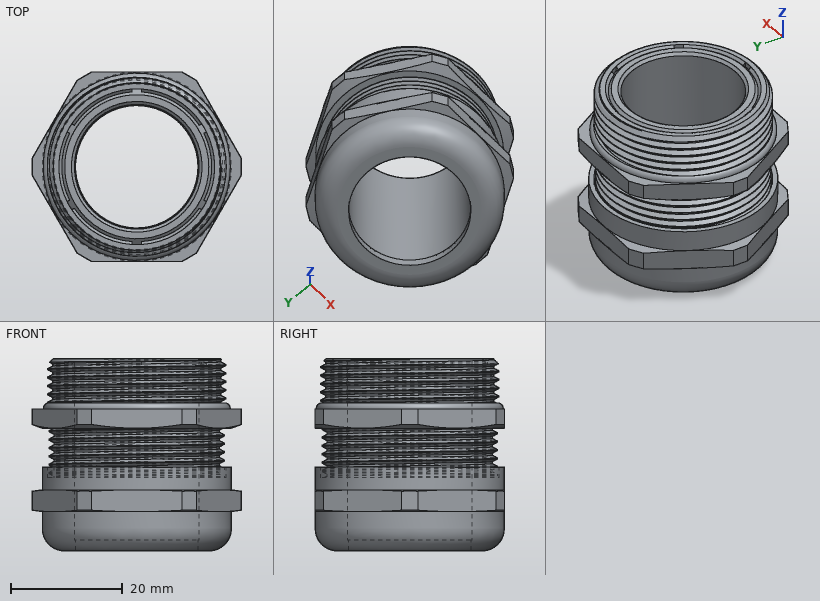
import cadquery as cq
import math

across_flats = 34.0
across_corners = 37.53
flat_radius = across_flats / 2
chamfer_cone_radius = 22.5

cap_hex_bottom = 7.05
cap_hex_top = 10.95
cap_top = 15.05
body_hex_bottom = 21.95
body_hex_top = 25.5
collar_top = 26.55
total_height = 34.5

cap_radius = 16.95
cap_round = 4.0
cap_recess_radius = 16.03
cap_recess_depth = 1.88
cap_hex_chamfer_angle = 8.0

body_chamfer_radius = 16.85
body_hex_chamfer_angle = 20.0
collar_radius = 16.78
collar_top_radius = 16.05

pitch = 1.5
ridge_base = 1.13
ridge_crest = 0.15
ridge_overlap = 0.15
upper_root, upper_crest = 15.1, 16.03
lower_root, lower_crest = 14.85, 15.75
upper_start = 25.82
lower_start = 11.7
upper_turns = 6
lower_turns = 8
thread_lead_radius = 14.97
thread_lead = 1.88

bore_radius = 11.2
bore_mouth_radius = 11.7
bore_chamfer = bore_mouth_radius - bore_radius
lip_radius = 10.95
lip_height = 2.0

groove_inner = 12.9
groove_outer = 13.95
groove_width = groove_outer - groove_inner
notch_width = 1.7
notch_count = 6
first_notch_angle = 30


def cylinder(radius, bottom, top):
    return cq.Workplane("XY").workplane(offset=bottom).circle(radius).extrude(top - bottom)


def turned(points):
    """Solid of revolution about Z from a closed outline of (radius, z) points."""
    return cq.Workplane("XZ").polyline(points).close().revolve(360, (0, 0), (0, 1))


def trimmed_hexagon(bottom, top):
    """Hexagonal prism with flats on +-Y and its six corners cut off square."""
    corner_ratio = 1 / math.cos(math.radians(30))
    height = top - bottom
    plane = cq.Workplane("XY").workplane(offset=bottom)
    hexagon = plane.polygon(6, across_flats * corner_ratio).extrude(height)
    trim = plane.transformed(rotate=(0, 0, 30)).polygon(6, across_corners * corner_ratio).extrude(height)
    return hexagon.intersect(trim)


def cone_rise(radius, start_radius, angle):
    return (radius - start_radius) * math.tan(math.radians(angle))


def threaded_stud(root, crest, bottom, top, start, turns):
    """Core cylinder carrying a right-handed ridge, trimmed between bottom and top."""
    base = root - ridge_overlap
    flank_slope = (ridge_base - ridge_crest) / 2 / (crest - root)
    half_base = ridge_base / 2 + ridge_overlap * flank_slope
    half_crest = ridge_crest / 2
    path = cq.Wire.makeHelix(pitch, pitch * turns, root, cq.Vector(0, 0, start))
    ridge = (
        cq.Workplane("XZ")
        .polyline([
            (base, start - half_base),
            (crest, start - half_crest),
            (crest, start + half_crest),
            (base, start + half_base),
        ])
        .close()
        .sweep(cq.Workplane(path), isFrenet=True)
    )
    trim = cylinder(crest + ridge_overlap, bottom, top)
    ridge = ridge.intersect(trim)
    return cylinder(root, bottom, top).union(ridge)


def make_cap():
    recess_floor = cap_top - cap_recess_depth
    body = cylinder(cap_radius, 0, cap_top).faces("<Z").edges().fillet(cap_round)
    body = body.cut(cylinder(cap_recess_radius, recess_floor, cap_top))
    rim = chamfer_cone_radius
    rise = cone_rise(rim, flat_radius, cap_hex_chamfer_angle)
    double_cone = turned([
        (0, cap_hex_bottom),
        (flat_radius, cap_hex_bottom),
        (rim, cap_hex_bottom + rise),
        (rim, cap_hex_top - rise),
        (flat_radius, cap_hex_top),
        (0, cap_hex_top),
    ])
    return body.union(trimmed_hexagon(cap_hex_bottom, cap_hex_top).intersect(double_cone))


def make_body_hexagon():
    rim = chamfer_cone_radius
    rise = cone_rise(rim, body_chamfer_radius, body_hex_chamfer_angle)
    cone = turned([
        (0, body_hex_bottom),
        (body_chamfer_radius, body_hex_bottom),
        (rim, body_hex_bottom + rise),
        (rim, body_hex_top),
        (0, body_hex_top),
    ])
    return trimmed_hexagon(body_hex_bottom, body_hex_top).intersect(cone)


def make_collar():
    """Ring whose rounded edge leaves the hexagon upright and curves in to its top face."""
    inset = collar_radius - collar_top_radius
    height = collar_top - body_hex_top
    edge_radius = (inset ** 2 + height ** 2) / (2 * inset)
    half_sweep = math.asin(height / edge_radius) / 2
    arc_middle = (
        collar_radius - edge_radius * (1 - math.cos(half_sweep)),
        body_hex_top + edge_radius * math.sin(half_sweep),
    )
    outline = (
        cq.Workplane("XZ")
        .moveTo(0, body_hex_top)
        .lineTo(collar_radius, body_hex_top)
        .threePointArc(arc_middle, (collar_top_radius, collar_top))
        .lineTo(0, collar_top)
        .close()
    )
    return outline.revolve(360, (0, 0), (0, 1))


def make_upper_thread():
    stud = threaded_stud(upper_root, upper_crest, collar_top, total_height, upper_start, upper_turns)
    envelope = turned([
        (0, 0),
        (thread_lead_radius + thread_lead, 0),
        (thread_lead_radius + thread_lead, total_height - thread_lead),
        (thread_lead_radius, total_height),
        (0, total_height),
    ])
    return stud.intersect(envelope)


def make_lower_thread():
    bottom = cap_top - cap_recess_depth
    return threaded_stud(lower_root, lower_crest, bottom, body_hex_bottom, lower_start, lower_turns)


def make_bore():
    return turned([
        (0, 0),
        (lip_radius, 0),
        (lip_radius, lip_height),
        (bore_radius, lip_height),
        (bore_radius, total_height - bore_chamfer),
        (bore_mouth_radius, total_height),
        (0, total_height),
    ])


def make_groove():
    return turned([
        (groove_inner, total_height),
        (groove_outer, total_height),
        ((groove_inner + groove_outer) / 2, total_height - groove_width / 2),
    ])


def make_notches():
    ring = turned([
        (groove_inner, total_height),
        (groove_outer, total_height),
        (groove_outer, total_height - groove_width),
    ])
    bar_length = 3 * groove_width
    bars = (
        cq.Workplane("XY", origin=(0, 0, total_height - groove_width))
        .polarArray(groove_outer, first_notch_angle, 360, notch_count)
        .rect(bar_length, notch_width)
        .extrude(groove_width)
    )
    return ring.intersect(bars)


result = (
    make_cap()
    .union(make_lower_thread())
    .union(make_body_hexagon())
    .union(make_collar())
    .union(make_upper_thread())
    .cut(make_bore())
    .cut(make_groove())
    .cut(make_notches())
)